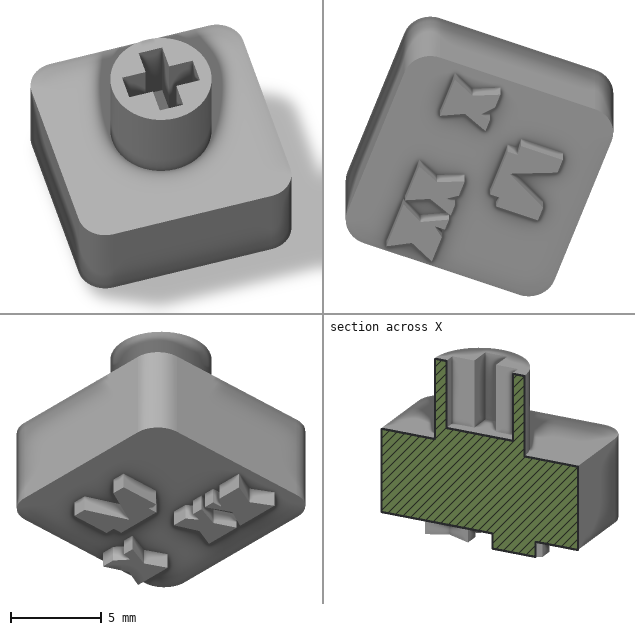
import cadquery as cq

body_x = 12.14
body_y = 12.2
body_height = 5.0
corner_radius = 1.52

stem_diameter = 5.6
stem_height = 4.8
cross_span = 4.07
cross_arm_x = 1.39
cross_arm_y = 1.35
cross_depth = 4.0

pad_height = 0.9
rear_pads_back = 3.49
rear_pads_front = 0.8
rear_pads_waist = 2.23
notch_depth = 0.61
front_pad_back = -0.78
front_pad_shoulder = -1.35
front_pad_front = -3.82


def make_housing():
    return (
        cq.Workplane("XY")
        .box(body_x, body_y, body_height, centered=(True, True, False))
        .edges("|Z")
        .fillet(corner_radius)
    )


def make_stem():
    return (
        cq.Workplane("XY")
        .workplane(offset=body_height)
        .circle(stem_diameter / 2)
        .extrude(stem_height)
    )


def make_cross_socket():
    top = cq.Workplane("XY").workplane(offset=body_height + stem_height)
    along_x = top.rect(cross_span, cross_arm_y).extrude(-cross_depth)
    along_y = top.rect(cross_arm_x, cross_span).extrude(-cross_depth)
    return along_x.union(along_y)


def make_pad(outline):
    return cq.Workplane("XY").polyline(outline).close().extrude(-pad_height)


def make_waisted_pad(left, notch_left, notch_peak, notch_right, right):
    """Pad drawn in at its waist on both sides and notched at its front edge."""
    waist_inset = (right - left) / 4
    return make_pad([
        (left, rear_pads_front),
        (notch_left, rear_pads_front),
        (notch_peak, rear_pads_front + notch_depth),
        (notch_right, rear_pads_front),
        (right, rear_pads_front),
        (right - waist_inset, rear_pads_waist),
        (right, rear_pads_back),
        (left, rear_pads_back),
        (left + waist_inset, rear_pads_waist),
    ])


def make_arched_pad():
    """Front pad with two feet, a slanted gap between them and a stepped back."""
    left, right = -2.94, 1.01
    foot_width = 0.83
    gap_peak = -1.12
    back_step = front_pad_back - front_pad_shoulder
    return make_pad([
        (left, front_pad_front),
        (left + foot_width, front_pad_front),
        (gap_peak, front_pad_shoulder),
        (right - foot_width, front_pad_front),
        (right, front_pad_front),
        (right, front_pad_shoulder),
        (right - back_step, front_pad_shoulder),
        (right - back_step, front_pad_back),
        (left + back_step, front_pad_back),
        (left + back_step, front_pad_shoulder),
        (left, front_pad_shoulder),
    ])


result = make_housing().union(make_stem()).cut(make_cross_socket())
result = result.union(make_waisted_pad(-5.5, -4.67, -3.96, -3.82, -3.12))
result = result.union(make_waisted_pad(0.18, 1.11, 1.54, 1.73, 2.4))
result = result.union(make_waisted_pad(2.67, 3.33, 3.33, 3.83, 5.42))
result = result.union(make_arched_pad())